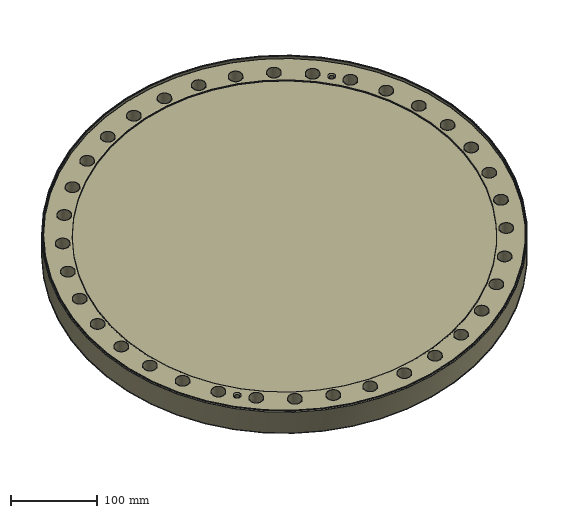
import cadquery as cq
import math

outer_diameter = 562.0
thickness = 38.0
edge_chamfer = 1.0
rim_lip_width = 2.0
rim_lip_height = 4.5

recess_diameter = 494.5
recess_depth = 2.0
border_width = 1.5
border_slope = 15.0

bolt_circle_radius = 257.0
bolt_hole_count = 36
bolt_hole_diameter = 17.0

bolt_spacing = 360 / bolt_hole_count
first_small_hole_angle = 90 + bolt_spacing / 2
small_hole_angles = [first_small_hole_angle, first_small_hole_angle + 180]
small_hole_diameter = 5.5
countersink_diameter = 9.0
countersink_angle = 90.0

outer_radius = outer_diameter / 2
lip_inner_radius = outer_radius - rim_lip_width
bolt_face_height = thickness - rim_lip_height
recess_radius = recess_diameter / 2
recess_floor_height = bolt_face_height - recess_depth
border_drop = border_width * math.tan(math.radians(border_slope))


def make_disc():
    """Revolve the half section (radius, height) of the disc about Z."""
    half_section = [
        (0, 0),
        (outer_radius - edge_chamfer, 0),
        (outer_radius, edge_chamfer),
        (outer_radius, thickness - edge_chamfer),
        (outer_radius - edge_chamfer, thickness),
        (lip_inner_radius, thickness),
        (lip_inner_radius, bolt_face_height),
        (recess_radius, bolt_face_height),
        (recess_radius - border_width, bolt_face_height - border_drop),
        (recess_radius - border_width, recess_floor_height),
        (0, recess_floor_height),
    ]
    return cq.Workplane("XZ").polyline(half_section).close().revolve(360, (0, 0), (0, 1))


def on_bolt_circle(part, angles):
    """Place points on the bolt circle, at the bolt face, at the given angles."""
    points = [
        (
            bolt_circle_radius * math.cos(math.radians(angle)),
            bolt_circle_radius * math.sin(math.radians(angle)),
        )
        for angle in angles
    ]
    return part.copyWorkplane(cq.Workplane("XY", origin=(0, 0, bolt_face_height))).pushPoints(points)


bolt_hole_angles = [index * bolt_spacing for index in range(bolt_hole_count)]

result = make_disc()
result = on_bolt_circle(result, bolt_hole_angles).hole(bolt_hole_diameter)
result = on_bolt_circle(result, small_hole_angles).cskHole(
    small_hole_diameter, countersink_diameter, countersink_angle
)